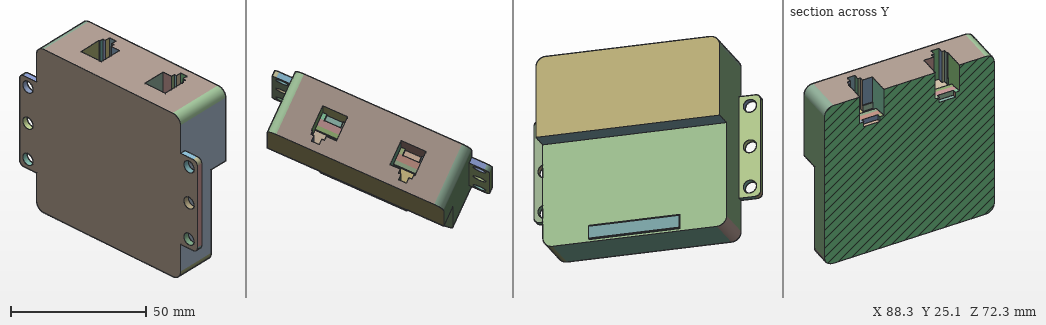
import cadquery as cq


total_width = 88.3
case_width = 71.6
case_height = 72.3
case_depth = 25.1
case_corner_radius = 3.8
lower_depth = 17.0
step_z = 4.5
front_y = -case_depth / 2
top_z = case_height / 2
bottom_z = -top_z

flange_height = 40.3
flange_thickness = 2.5
flange_corner_radius = 2.0
hole_diameter = 5.0
hole_x = 40.0
hole_spacing = 16.0

socket_x = 15.9
socket_width = 10.1
socket_front = 8.1
socket_back = 17.75
socket_lip = 0.35
key_inset = 0.4
key_width = 5.5
key_back = 19.7
latch_inset = 1.7
latch_width = 3.2
latch_back = 22.0

ledge_back = 15.0
ramp_back = 13.3
ramp_front = 10.7
contact_slot_width = 6.6
socket_depth = 14.1
ledge_depth = 12.4
shoulder_depth = 11.9
lip_depth = 11.5

strip_length = 35.3
strip_thickness = 0.9
strip_height = 5.6
strip_bottom_gap = 0.9
strip_top_chamfer = 0.6
strip_bottom_chamfer = 0.3


def upright_plate(width, height, thickness, corner_radius):
    """Plate with rounded corners that stands on the mounting face plane."""
    return (
        cq.Workplane("XY")
        .box(width, thickness, height)
        .edges("|Y")
        .fillet(corner_radius)
        .translate((0, front_y + thickness / 2, 0))
    )


def box_between(x_range, y_range, z_range):
    """Box given by its limits along each axis."""
    limits = (x_range, y_range, z_range)
    sizes = [high - low for low, high in limits]
    corner = cq.Vector(*[low for low, high in limits])
    return cq.Workplane("XY").box(*sizes, centered=False).translate(corner)


def socket_slot(inset, width, back, depth):
    """Part of the left socket opening, cut down from the top."""
    left = inset - socket_x - socket_width / 2
    return box_between(
        (left, left + width),
        (front_y + socket_front, front_y + back),
        (top_z - depth, top_z),
    )


def contact_block():
    """Stepped and ramped block left standing on the floor of the left socket."""
    floor_z = top_z - socket_depth
    ledge_z = top_z - ledge_depth
    shoulder_z = top_z - shoulder_depth
    profile = [
        (front_y + socket_front, floor_z),
        (front_y + ledge_back, floor_z),
        (front_y + ledge_back, ledge_z),
        (front_y + ramp_back, ledge_z),
        (front_y + ramp_front, shoulder_z),
        (front_y + socket_front, shoulder_z),
    ]
    block = (
        cq.Workplane("YZ", origin=(-socket_x, 0, 0))
        .polyline(profile)
        .close()
        .extrude(socket_width / 2, both=True)
    )
    slot = box_between(
        (-socket_x - contact_slot_width / 2, -socket_x + contact_slot_width / 2),
        (front_y + socket_front, front_y + ramp_front),
        (floor_z, shoulder_z),
    )
    return block.cut(slot)


def left_socket():
    """Cavity of the left jack: keyed opening with the contact block inside it."""
    return (
        socket_slot(0, socket_width, socket_back, socket_depth)
        .union(socket_slot(0, socket_width, socket_back + socket_lip, lip_depth))
        .union(socket_slot(key_inset, key_width, key_back, socket_depth))
        .union(socket_slot(latch_inset, latch_width, latch_back, socket_depth))
        .cut(contact_block())
    )


def make_housing():
    """Stepped case with its mounting flange, screw holes and two mirrored jack sockets."""
    case = upright_plate(case_width, case_height, case_depth, case_corner_radius)
    step = box_between(
        (-case_width / 2, case_width / 2),
        (front_y + lower_depth, front_y + case_depth),
        (bottom_z, step_z),
    )
    flange = upright_plate(total_width, flange_height, flange_thickness, flange_corner_radius)
    hole_points = [
        (side * hole_x, row * hole_spacing) for side in (-1, 1) for row in (-1, 0, 1)
    ]
    holes = (
        cq.Workplane("XZ", origin=(0, front_y, 0))
        .pushPoints(hole_points)
        .circle(hole_diameter / 2)
        .extrude(-flange_thickness)
    )
    socket = left_socket()
    return case.cut(step).union(flange).cut(holes).cut(socket).cut(socket.mirror("YZ"))


def make_terminal_strip():
    """Bar with chamfered long edges, seated on the back of the lower part."""
    seat_y = front_y + lower_depth
    strip_bottom = bottom_z + strip_bottom_gap
    strip = box_between(
        (-strip_length / 2, strip_length / 2),
        (seat_y, seat_y + strip_thickness),
        (strip_bottom, strip_bottom + strip_height),
    )
    return (
        strip.edges(">Y and >Z")
        .chamfer(strip_top_chamfer)
        .edges(">Y and <Z")
        .chamfer(strip_bottom_chamfer)
    )


housing = make_housing()
terminal_strip = make_terminal_strip()
result = cq.Compound.makeCompound([housing.val(), terminal_strip.val()])